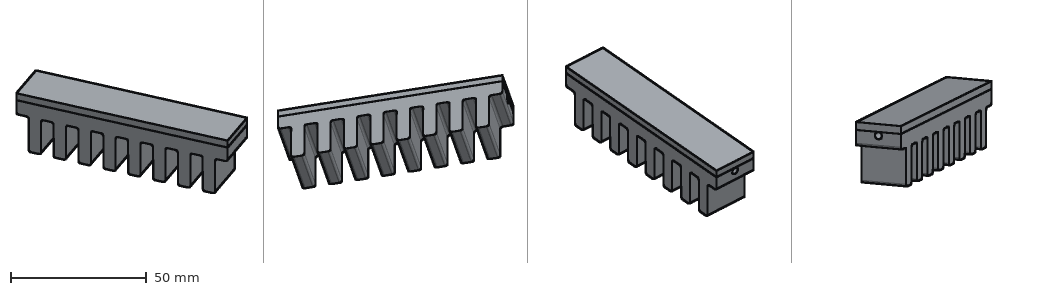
import cadquery as cq

LENGTH = 85.0
DEPTH = 18.0
HEIGHT = 24.0

PLATE_THICKNESS = 3.0
TOOTH_LENGTH = 15.0
TOOTH_COUNT = 8
EDGE_RADIUS = 1.0

HOLE_DIAMETER = 2.7
HOLE_DEPTH = 10.0
HOLE_ROOF = 0.04

TOOTH_WIDTH = LENGTH / (2 * TOOTH_COUNT + 1)
TOOTH_PITCH = 2 * TOOTH_WIDTH

SEAM_Z = HEIGHT - PLATE_THICKNESS
BACK_HEIGHT = SEAM_Z - TOOTH_LENGTH


def block(length, height, center_x, bottom_z):
    """Full-depth block standing on bottom_z."""
    return (
        cq.Workplane("XY", origin=(center_x, 0, bottom_z))
        .box(length, DEPTH, height, centered=(True, True, False))
    )


def make_comb_blank():
    """Back bar with evenly spaced teeth and rounded tips, roots and ends."""
    blank = block(LENGTH, BACK_HEIGHT, 0, TOOTH_LENGTH)
    for i in range(TOOTH_COUNT):
        tooth_x = (i - (TOOTH_COUNT - 1) / 2) * TOOTH_PITCH
        blank = blank.union(block(TOOTH_WIDTH, TOOTH_LENGTH, tooth_x, 0))
    return blank.edges("|Y").edges("not >Z").fillet(EDGE_RADIUS)


def make_end_hole():
    """Cylinder entering the comb along +X from its -X end."""
    center_z = SEAM_Z - HOLE_ROOF - HOLE_DIAMETER / 2
    return (
        cq.Workplane("YZ", origin=(-LENGTH / 2, 0, center_z))
        .circle(HOLE_DIAMETER / 2)
        .extrude(HOLE_DEPTH)
    )


comb = make_comb_blank().cut(make_end_hole())
cover_plate = block(LENGTH, PLATE_THICKNESS, 0, SEAM_Z)

result = cq.Compound.makeCompound([comb.solids().val(), cover_plate.val()])